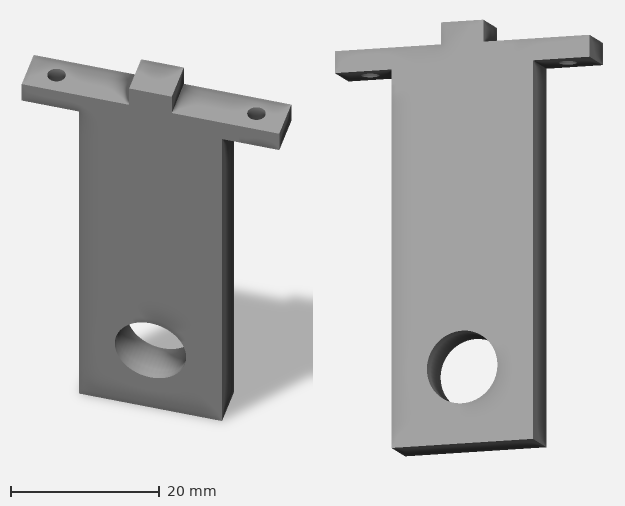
import cadquery as cq

total_height = 58.0
thickness = 6.0

plate_width = 20.0
plate_hole_diameter = 10.0
plate_hole_height = 10.5

bar_width = 36.0
bar_height = 3.0
screw_hole_diameter = 2.5
screw_hole_offset = 14.0

stub_width = 6.0
stub_height = 3.0

bar_top = total_height - stub_height
bar_bottom = bar_top - bar_height


def centered_block(width, bottom, top):
    """Full-thickness block centred on X and Y between two heights."""
    block = cq.Workplane("XY").box(width, thickness, top - bottom, centered=(True, True, False))
    return block.translate((0, 0, bottom))


plate = centered_block(plate_width, 0, bar_top)
crossbar = centered_block(bar_width, bar_bottom, bar_top)
stub = centered_block(stub_width, bar_bottom, total_height)
body = plate.union(crossbar).union(stub)

plate_hole = (
    cq.Workplane("XZ")
    .center(0, plate_hole_height)
    .circle(plate_hole_diameter / 2)
    .extrude(thickness / 2, both=True)
)

screw_holes = (
    cq.Workplane("XY", origin=(0, 0, bar_bottom))
    .pushPoints([(-screw_hole_offset, 0), (screw_hole_offset, 0)])
    .circle(screw_hole_diameter / 2)
    .extrude(bar_height)
)

result = body.cut(plate_hole).cut(screw_holes)